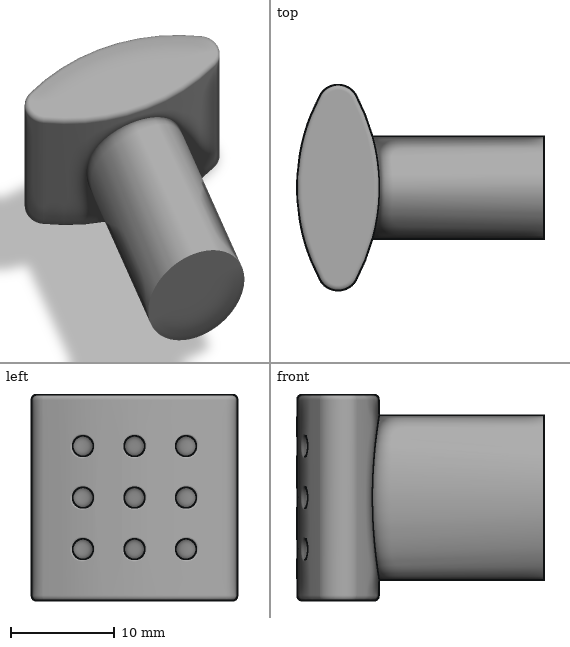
import cadquery as cq
import math

total_length = 24.0
plate_span = total_length * 5 / 6
plate_thickness = total_length / 3
end_radius = total_length / 12
edge_fillet = 0.5
stem_width = plate_span / 2
stem_height = plate_span * 0.8
hole_diameter = end_radius
hole_pitch = plate_span / 4
middle_hole_depth = 1.0
outer_hole_depth = 0.9
rim_fillet = 0.2

half_thickness = plate_thickness / 2
half_span = plate_span / 2

end_center = half_span - end_radius
face_radius = (half_thickness**2 + end_center**2 - end_radius**2) / (2 * (half_thickness - end_radius))
face_center = face_radius - half_thickness
tangent_angle = math.atan2(end_center, face_center)


def make_plate():
    """Lens-shaped plate with rounded top and bottom edges."""
    tangent_x = end_radius * math.cos(tangent_angle)
    tangent_y = end_center + end_radius * math.sin(tangent_angle)
    return (
        cq.Workplane("XY")
        .workplane(offset=-half_span)
        .moveTo(-tangent_x, -tangent_y)
        .threePointArc((0, -half_span), (tangent_x, -tangent_y))
        .threePointArc((half_thickness, 0), (tangent_x, tangent_y))
        .threePointArc((0, half_span), (-tangent_x, tangent_y))
        .threePointArc((-half_thickness, 0), (-tangent_x, -tangent_y))
        .close()
        .extrude(plate_span)
        .faces("|Z")
        .edges()
        .fillet(edge_fillet)
    )


def make_stem():
    """Elliptical stem from the middle of the plate to the far end."""
    return (
        cq.Workplane("YZ")
        .ellipse(stem_width / 2, stem_height / 2)
        .extrude(total_length - half_thickness)
    )


def front_face_x(y):
    """X of the curved front face at a given Y."""
    return face_center - math.sqrt(face_radius**2 - y**2)


def cut_holes(body):
    """Three by three grid of blind, flat-bottomed holes with rounded rims."""
    offsets = (-hole_pitch, 0, hole_pitch)
    for y in offsets:
        depth = middle_hole_depth if y == 0 else outer_hole_depth
        floor_x = front_face_x(y) + depth
        drill = (
            cq.Workplane("YZ", origin=(floor_x, y, 0))
            .pushPoints([(0, z) for z in offsets])
            .circle(hole_diameter / 2)
            .extrude(-plate_thickness)
        )
        body = body.cut(drill)
    rim_wires = [wire for face in body.faces().vals() for wire in face.innerWires()]
    rim_edges = [edge for wire in rim_wires for edge in wire.Edges()]
    return body.newObject(rim_edges).fillet(rim_fillet)


result = cut_holes(make_plate()).union(make_stem())